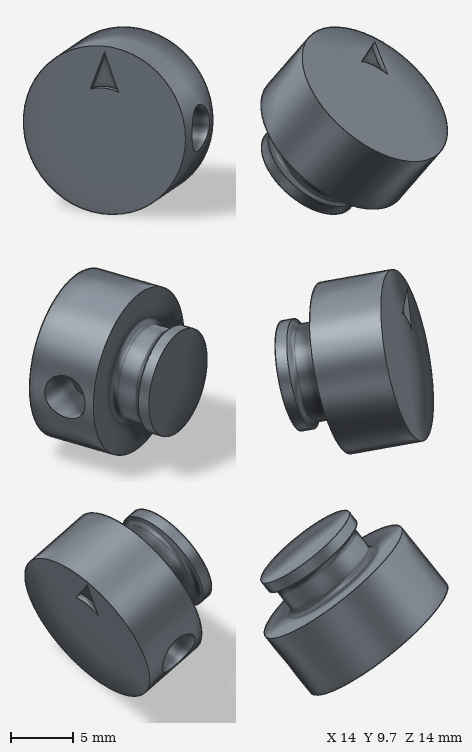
import cadquery as cq
import math

body_radius = 7.0
body_depth = 6.0

neck_diameter = 8.0
neck_radius = neck_diameter / 2
fillet_radius = 0.5
neck_length = 2.7
flange_radius = neck_radius + fillet_radius
flange_thickness = 1.0

pointer_tip_height = 6.5
pointer_base_radius = 3.5
pointer_half_width = 1.22
pointer_depth = 0.5

side_hole_diameter = 3.8
side_hole_position = 3.33
side_hole_depth = 4.0


def make_knob():
    """Revolve the half profile of body, neck and flange about the Y axis."""
    flange_start = body_depth + neck_length
    back = flange_start + flange_thickness
    arc_inset = fillet_radius * (1 - math.sqrt(0.5))
    neck_mid_radius = neck_radius + arc_inset
    return (
        cq.Workplane("XY")
        .lineTo(body_radius, 0)
        .lineTo(body_radius, body_depth)
        .lineTo(flange_radius, body_depth)
        .threePointArc(
            (neck_mid_radius, body_depth + arc_inset),
            (neck_radius, body_depth + fillet_radius),
        )
        .lineTo(neck_radius, flange_start - fillet_radius)
        .threePointArc(
            (neck_mid_radius, flange_start - arc_inset),
            (flange_radius, flange_start),
        )
        .lineTo(flange_radius, back)
        .lineTo(0, back)
        .close()
        .revolve(360, (0, 0, 0), (0, 1, 0))
    )


def make_pointer():
    """Arrowhead whose base is an arc centred on the knob axis."""
    base_corner_height = math.sqrt(pointer_base_radius**2 - pointer_half_width**2)
    return (
        cq.Workplane("XZ")
        .moveTo(0, pointer_tip_height)
        .lineTo(pointer_half_width, base_corner_height)
        .threePointArc((0, pointer_base_radius), (-pointer_half_width, base_corner_height))
        .close()
        .extrude(-pointer_depth)
    )


def make_side_hole():
    """Cylinder running inward along X from the +X side of the body."""
    return (
        cq.Workplane("YZ", origin=(body_radius, 0, 0))
        .center(side_hole_position, 0)
        .circle(side_hole_diameter / 2)
        .extrude(-side_hole_depth)
    )


result = make_knob().cut(make_pointer()).cut(make_side_hole())